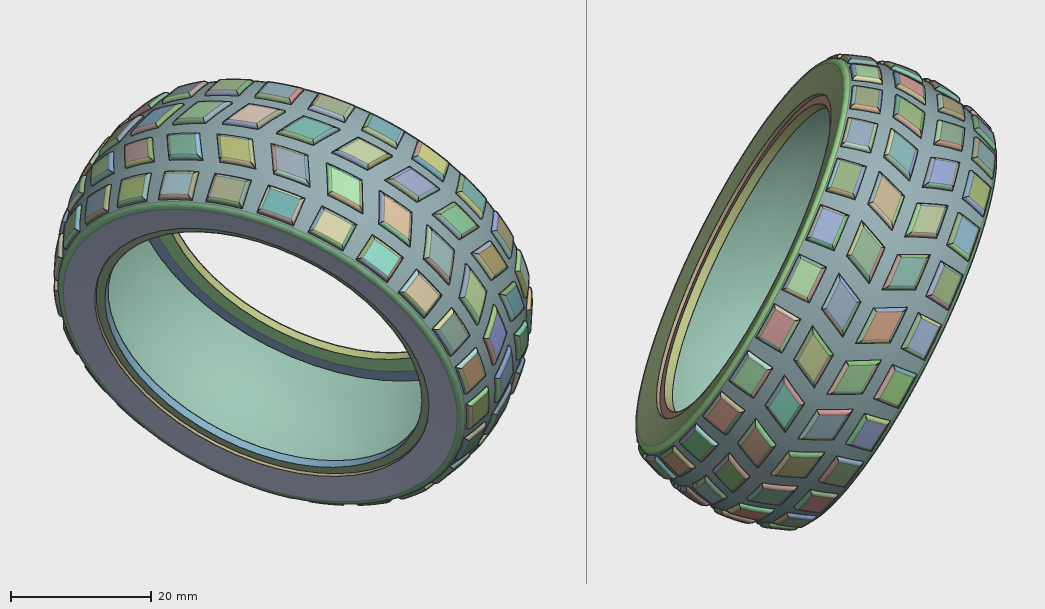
import cadquery as cq
import math


def arc_height(y, peak_radius, arc_radius):
    """Radius at the axial position y of an arc that peaks at y = 0."""
    return peak_radius - arc_radius + math.sqrt(arc_radius**2 - y**2)


half_width = 12.5
crown_radius = 33.9
crown_arc_radius = 28.25
shoulder_fillet = 0.95

rim_radius = 51.4 / 2
wall_dish = 0.7
rim_step_depth = 0.55

shoulder_radius = arc_height(half_width, crown_radius, crown_arc_radius)
rim_y = half_width - wall_dish
lip_y = rim_y - rim_step_depth

bore_radius = 48.8 / 2
lip_thickness = 1.3
lip_outer_radius = 53.8 / 2

tread_thickness = 2.55
cavity_shoulder_radius = 29.2

lugs_per_row = 25
lug_pitch = 360 / lugs_per_row
lug_height = 0.6
lug_root_radius = 28.95
lug_length = 5.65
lug_fillet = 0.55
inner_row_start = 1.0
inner_row_end = 5.6
inner_row_skew = 2.3
outer_row_start = 7.45
outer_row_end = 11.6


def revolve_around_y(profile):
    return profile.close().revolve(360, (0, 0, 0), (0, 1, 0))


def make_body():
    """Ring without its cavity: curved crown, dished side walls and stepped rims."""
    ring = revolve_around_y(
        cq.Workplane("XY")
        .moveTo(bore_radius, -lip_y)
        .lineTo(rim_radius, -lip_y)
        .lineTo(rim_radius, -rim_y)
        .lineTo(shoulder_radius, -half_width)
        .threePointArc((crown_radius, 0), (shoulder_radius, half_width))
        .lineTo(rim_radius, rim_y)
        .lineTo(rim_radius, lip_y)
        .lineTo(bore_radius, lip_y)
    )
    shoulder_edges = cq.selectors.RadiusNthSelector(-1)
    return ring.edges("%CIRCLE").edges(shoulder_edges).fillet(shoulder_fillet)


def make_cavity():
    """Space inside the tyre; its side faces run parallel to the side walls."""
    inner_y = lip_y - lip_thickness
    wall_slope = wall_dish / (shoulder_radius - rim_radius)
    cavity_y = inner_y + wall_slope * (cavity_shoulder_radius - lip_outer_radius)
    return revolve_around_y(
        cq.Workplane("XY")
        .moveTo(bore_radius, -inner_y)
        .lineTo(lip_outer_radius, -inner_y)
        .lineTo(cavity_shoulder_radius, -cavity_y)
        .threePointArc((crown_radius - tread_thickness, 0), (cavity_shoulder_radius, cavity_y))
        .lineTo(lip_outer_radius, inner_y)
        .lineTo(bore_radius, inner_y)
    )


def make_lug_envelope():
    """Ring that holds all lugs; its outside is the top surface of the lugs."""
    peak_radius = crown_radius + lug_height
    edge_radius = arc_height(half_width, peak_radius, crown_arc_radius + lug_height)
    return revolve_around_y(
        cq.Workplane("XY")
        .moveTo(lug_root_radius, -half_width)
        .lineTo(edge_radius, -half_width)
        .threePointArc((peak_radius, 0), (edge_radius, half_width))
        .lineTo(lug_root_radius, half_width)
    )


def make_lug(envelope, start, end, skew):
    """One lug on +X; its end nearest to y = 0 is shifted along Z by skew."""
    half_length = lug_length / 2
    prism_top = crown_radius + 2 * lug_height
    prism = (
        cq.Workplane("YZ")
        .polyline([
            (start, skew - half_length),
            (end, -half_length),
            (end, half_length),
            (start, skew + half_length),
        ])
        .close()
        .extrude(prism_top)
    )
    lug = prism.intersect(envelope)
    return lug.faces(">X").edges().fillet(lug_fillet)


def make_tread():
    """All lugs: an inner and an outer row on each side of the middle plane."""
    envelope = make_lug_envelope()
    lugs = []
    for start, end, skew in (
        (inner_row_start, inner_row_end, inner_row_skew),
        (outer_row_start, outer_row_end, 0),
    ):
        lug = make_lug(envelope, start, end, skew)
        for side_lug in (lug, lug.mirror("XZ")):
            for i in range(lugs_per_row):
                lugs.append(side_lug.rotate((0, 0, 0), (0, 1, 0), i * lug_pitch).val())
    return lugs


tread = make_tread()
body = make_body().val().fuse(*tread)
result = cq.Workplane("XY").newObject([body]).cut(make_cavity())